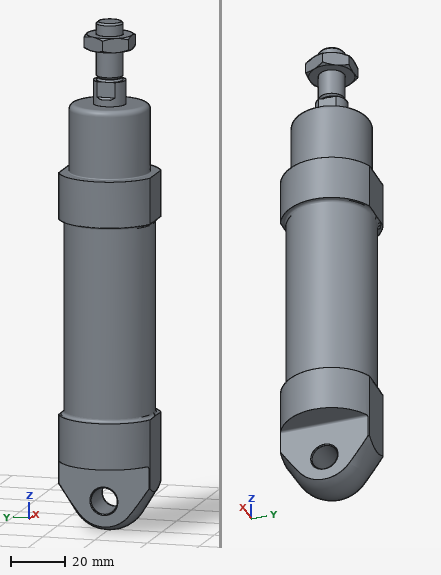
import cadquery as cq
import math

total_height = 191.5
nut_bottom, nut_height = 181.4, 5.4
thread_bottom = 170.5
rod_shoulder = 169.5
rod_flat_bottom = 163.7
head_top = 160.5
upper_collar_top = 134.8
collar_height = 17.5
lower_collar_bottom = 26.2

thread_diameter = 10.0
relief_diameter = 8.5
rod_diameter = 12.0
rod_flat_width = 10.0
rod_flat_slope = 0.8
thread_chamfer = (thread_diameter - relief_diameter) / 2
nut_flat_width = 17.0
nut_edge_drop = 0.8

head_diameter = 30.0
head_fillet = 2.1
tube_diameter = 33.9
collar_diameter = 38.0
collar_flat_width = 35.0
root_fillet = 1.0
head_root_fillet = 0.4
tube_fillet = 1.1

tongue_thickness = 15.9
tip_radius = 14.5
cone_top = 17.6
pin_hole_diameter = 10.0
pin_hole_height = 12.0
pin_hole_chamfer = 0.4


def make_rod():
    """Rod standing on the head, with wrench flats, a relief neck and a chamfered thread."""
    rod_radius = rod_diameter / 2
    thread_radius = thread_diameter / 2
    relief_radius = relief_diameter / 2
    rod = (
        cq.Workplane("XZ")
        .moveTo(0, head_top)
        .lineTo(rod_radius, head_top)
        .lineTo(rod_radius, rod_shoulder)
        .lineTo(thread_radius, rod_shoulder)
        .lineTo(relief_radius, rod_shoulder + thread_chamfer)
        .lineTo(relief_radius, thread_bottom)
        .lineTo(thread_radius, thread_bottom + thread_chamfer)
        .lineTo(thread_radius, total_height - thread_chamfer)
        .lineTo(relief_radius, total_height)
        .lineTo(0, total_height)
        .close()
        .revolve(360, (0, 0, 0), (0, 1, 0))
    )
    flat_x = rod_flat_width / 2
    flat_cut = (
        cq.Workplane("XZ")
        .moveTo(flat_x, rod_flat_bottom)
        .lineTo(flat_x + rod_flat_slope, rod_flat_bottom - rod_flat_slope)
        .lineTo(rod_diameter, rod_flat_bottom - rod_flat_slope)
        .lineTo(rod_diameter, rod_shoulder)
        .lineTo(flat_x, rod_shoulder)
        .close()
        .extrude(rod_radius, both=True)
    )
    return rod.cut(flat_cut).cut(flat_cut.mirror("YZ"))


def make_nut():
    """Hexagon nut with its corners chamfered at both ends."""
    corner_diameter = nut_flat_width / math.cos(math.pi / 6)
    hexagon = cq.Workplane("XY").workplane(offset=nut_bottom).polygon(6, corner_diameter).extrude(nut_height)
    corner_chamfer = (corner_diameter - nut_flat_width) / 2
    rounding = (
        cq.Workplane("XY")
        .workplane(offset=nut_bottom)
        .circle(corner_diameter / 2)
        .extrude(nut_height)
        .faces("<Z or >Z")
        .chamfer(nut_edge_drop, corner_chamfer)
    )
    return hexagon.intersect(rounding).faces(">Z").workplane().hole(thread_diameter)


def make_barrel():
    """Head, tube and both collars, with the collars flattened on two sides."""
    head_radius = head_diameter / 2
    tube_radius = tube_diameter / 2
    collar_radius = collar_diameter / 2
    upper_collar_bottom = upper_collar_top - collar_height
    lower_collar_top = lower_collar_bottom + collar_height
    barrel = (
        cq.Workplane("XZ")
        .lineTo(collar_radius, 0)
        .lineTo(collar_radius, lower_collar_top)
        .lineTo(tube_radius + tube_fillet, lower_collar_top)
        .radiusArc((tube_radius, lower_collar_top + tube_fillet), tube_fillet)
        .lineTo(tube_radius, upper_collar_bottom - tube_fillet)
        .radiusArc((tube_radius + tube_fillet, upper_collar_bottom), tube_fillet)
        .lineTo(collar_radius, upper_collar_bottom)
        .lineTo(collar_radius, upper_collar_top)
        .lineTo(head_radius + head_root_fillet, upper_collar_top)
        .radiusArc((head_radius, upper_collar_top + head_root_fillet), head_root_fillet)
        .lineTo(head_radius, head_top - head_fillet)
        .radiusArc((head_radius - head_fillet, head_top), -head_fillet)
        .lineTo(0, head_top)
        .close()
        .revolve(360, (0, 0, 0), (0, 1, 0))
    )
    flats = cq.Workplane("XY").box(collar_diameter, collar_flat_width, total_height, centered=(True, True, False))
    return barrel.intersect(flats)


def make_tip_envelope():
    """Turned outline of the lower end: a spherical tip blending into a cone, then the collar diameter."""
    collar_radius = collar_diameter / 2
    rise = cone_top - tip_radius
    point_angle = math.atan2(rise, collar_radius)
    tangent_angle = point_angle - math.acos(tip_radius / math.hypot(collar_radius, rise))
    mid_angle = (tangent_angle - math.pi / 2) / 2

    def tip_point(angle):
        return tip_radius * math.cos(angle), tip_radius * (1 + math.sin(angle))

    return (
        cq.Workplane("XZ")
        .threePointArc(tip_point(mid_angle), tip_point(tangent_angle))
        .lineTo(collar_radius, cone_top)
        .lineTo(collar_radius, total_height)
        .lineTo(0, total_height)
        .close()
        .revolve(360, (0, 0, 0), (0, 1, 0))
    )


def make_tongue_side_cut():
    """Space beside the tongue on the +X side, with a rounded corner under the collar."""
    inner_x = tongue_thickness / 2
    return (
        cq.Workplane("XZ")
        .moveTo(inner_x, 0)
        .lineTo(inner_x, lower_collar_bottom - root_fillet)
        .radiusArc((inner_x + root_fillet, lower_collar_bottom), root_fillet)
        .lineTo(collar_diameter, lower_collar_bottom)
        .lineTo(collar_diameter, 0)
        .close()
        .extrude(collar_diameter, both=True)
    )


def make_pin_hole():
    """Cross hole through the tongue, widening by a small chamfer at both faces."""
    face_x = tongue_thickness / 2
    hole_radius = pin_hole_diameter / 2
    return (
        cq.Workplane("XZ", origin=(0, 0, pin_hole_height))
        .moveTo(-face_x, 0)
        .lineTo(-face_x, hole_radius + pin_hole_chamfer)
        .lineTo(-face_x + pin_hole_chamfer, hole_radius)
        .lineTo(face_x - pin_hole_chamfer, hole_radius)
        .lineTo(face_x, hole_radius + pin_hole_chamfer)
        .lineTo(face_x, 0)
        .close()
        .revolve(360, (0, 0, 0), (1, 0, 0))
    )


def make_body():
    """Cylinder body with the mounting tongue and its cross hole at the lower end."""
    side_cut = make_tongue_side_cut()
    pin_hole = make_pin_hole()
    body = make_barrel().intersect(make_tip_envelope())
    return body.cut(side_cut).cut(side_cut.mirror("YZ")).cut(pin_hole)


body = make_body()
rod = make_rod()
nut = make_nut()

result = cq.Compound.makeCompound([body.val(), rod.val(), nut.val()])